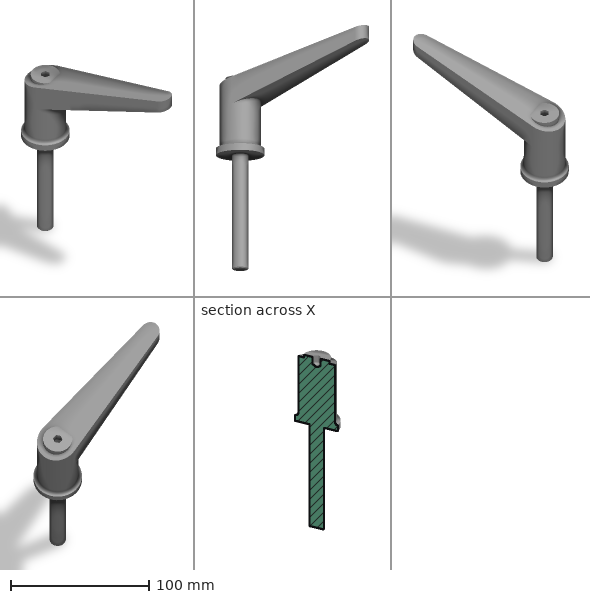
import cadquery as cq
import math

total_height = 167.8
total_length = 125.5
stud_radius = 11.9 / 2
stud_chamfer = 0.7
flange_radius = 35.0 / 2
flange_bottom = 84.6
flange_top = 89.6
hub_radius = 30.0 / 2
neck_fillet = flange_radius - hub_radius
tip_x = total_length - flange_radius
tip_radius = 7.0
tip_thickness = 9.7
top_slope = math.tan(math.radians(14.7))
underside_slope = math.tan(math.radians(19.8))
cap_radius = 10.5
cap_top = 141.6
socket_across_flats = 6.0
socket_depth = 6.0
socket_cone_height = 1.7

tip_center = tip_x - tip_radius


def top_height(x):
    """Height of the sloping top face at x."""
    return total_height + top_slope * (x - tip_x)


def underside_height(x):
    """Height of the sloping lever underside at x."""
    return total_height - tip_thickness + underside_slope * (x - tip_x)


def stud():
    return (
        cq.Workplane("XY")
        .circle(stud_radius)
        .extrude(flange_top)
        .faces("<Z")
        .chamfer(stud_chamfer)
    )


def hub():
    """Flange and hub, blended by a concave quarter round."""
    arc_offset = neck_fillet * (1 - math.sqrt(0.5))
    return (
        cq.Workplane("XZ")
        .moveTo(0, flange_bottom)
        .lineTo(flange_radius, flange_bottom)
        .lineTo(flange_radius, flange_top)
        .threePointArc(
            (hub_radius + arc_offset, flange_top + arc_offset),
            (hub_radius, flange_top + neck_fillet),
        )
        .lineTo(hub_radius, total_height)
        .lineTo(0, total_height)
        .close()
        .revolve(360, (0, 0, 0), (0, 1, 0))
    )


def below_top_face():
    """Side profile under the sloping top, wide enough to trim the hub."""
    left = -flange_radius
    right = flange_radius
    return (
        cq.Workplane("XZ")
        .polyline([(left, 0), (right, 0), (right, top_height(right)), (left, top_height(left))])
        .close()
        .extrude(flange_radius, both=True)
    )


def lever():
    """Sloping wedge whose sides are tangent to the hub and to the round tip."""
    sine = (hub_radius - tip_radius) / tip_center
    cosine = math.sqrt(1 - sine**2)
    hub_x, hub_y = hub_radius * sine, hub_radius * cosine
    end_x, end_y = tip_center + tip_radius * sine, tip_radius * cosine
    plan = (
        cq.Workplane("XY")
        .moveTo(hub_x, -hub_y)
        .lineTo(end_x, -end_y)
        .threePointArc((tip_x, 0), (end_x, end_y))
        .lineTo(hub_x, hub_y)
        .close()
        .extrude(total_height)
    )
    profile = (
        cq.Workplane("XZ")
        .polyline([
            (hub_x, underside_height(hub_x)),
            (tip_x, underside_height(tip_x)),
            (tip_x, total_height),
            (hub_x, top_height(hub_x)),
        ])
        .close()
        .extrude(hub_radius, both=True)
    )
    return plan.intersect(profile)


def cap():
    """Screw head that emerges from the sloping top face."""
    return cq.Workplane("XY").workplane(offset=flange_top).circle(cap_radius).extrude(cap_top - flange_top)


def socket():
    """Hexagonal socket with a conical bottom."""
    across_corners = socket_across_flats / math.cos(math.pi / 6)
    floor = cap_top - socket_depth
    hexagon = cq.Workplane("XY").workplane(offset=floor).polygon(6, across_corners).extrude(socket_depth)
    cone = cq.Workplane("XY").add(
        cq.Solid.makeCone(
            socket_across_flats / 2, 0, socket_cone_height, cq.Vector(0, 0, floor), cq.Vector(0, 0, -1)
        )
    )
    return hexagon.union(cone)


result = stud().union(hub().intersect(below_top_face())).union(lever()).union(cap()).cut(socket())